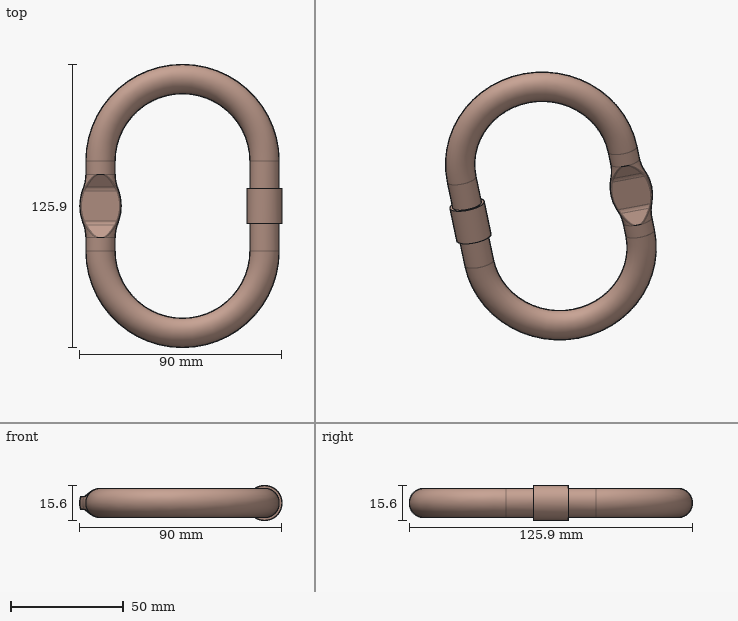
import cadquery as cq
import math

LINK_LENGTH = 125.9
WIRE_RADIUS = 6.5
STRAIGHT_SPACING = 72.9
STRAIGHT_X = STRAIGHT_SPACING / 2
BEND_Y = LINK_LENGTH / 2 - WIRE_RADIUS - STRAIGHT_X

SLEEVE_RADIUS = 7.8
SLEEVE_LENGTH = 15.6

SWELL_RADIUS = 9.3
SWELL_HALF_LENGTH = 14.1
SWELL_CREST_HALF_LENGTH = 7.4
FLAT_HALF_THICKNESS = 2.9
FLAT_HALF_LENGTH = 7.5
RAMP_END_HEIGHT = 6.4
FLAT_BLEND_RADIUS = 3.8
FLAT_EDGE_RADIUS = 0.5


def make_link():
    """Round wire swept along the oval centre line."""
    path = (
        cq.Workplane("XY")
        .moveTo(STRAIGHT_X, -BEND_Y)
        .lineTo(STRAIGHT_X, BEND_Y)
        .threePointArc((0, BEND_Y + STRAIGHT_X), (-STRAIGHT_X, BEND_Y))
        .lineTo(-STRAIGHT_X, -BEND_Y)
        .threePointArc((0, -BEND_Y - STRAIGHT_X), (STRAIGHT_X, -BEND_Y))
        .close()
    )
    section = cq.Workplane("XZ", origin=(STRAIGHT_X, -BEND_Y, 0)).circle(WIRE_RADIUS)
    return section.sweep(path)


def make_sleeve():
    """Solid cylinder, coaxial with the +X straight."""
    return (
        cq.Workplane("XZ", origin=(STRAIGHT_X, SLEEVE_LENGTH / 2, 0))
        .circle(SLEEVE_RADIUS)
        .extrude(SLEEVE_LENGTH)
    )


def make_swell():
    """Barrel revolved about the -X straight: convex crest running tangentially into hollow ends."""
    rise = SWELL_RADIUS - WIRE_RADIUS
    crest_drop = rise * SWELL_CREST_HALF_LENGTH / SWELL_HALF_LENGTH
    shoulder_radius = SWELL_RADIUS - crest_drop
    shoulder = (shoulder_radius, SWELL_CREST_HALF_LENGTH)

    hollow_length = SWELL_HALF_LENGTH - SWELL_CREST_HALF_LENGTH
    hollow_rise = shoulder_radius - WIRE_RADIUS
    hollow_radius = (hollow_length**2 + hollow_rise**2) / (2 * hollow_rise)
    half_angle = math.asin(hollow_length / hollow_radius) / 2
    hollow_middle = (
        WIRE_RADIUS + hollow_radius * (1 - math.cos(half_angle)),
        SWELL_HALF_LENGTH - hollow_radius * math.sin(half_angle),
    )

    def mirrored(point):
        return (point[0], -point[1])

    return (
        cq.Workplane("XY", origin=(-STRAIGHT_X, 0, 0))
        .moveTo(0, -SWELL_HALF_LENGTH)
        .lineTo(WIRE_RADIUS, -SWELL_HALF_LENGTH)
        .threePointArc(mirrored(hollow_middle), mirrored(shoulder))
        .threePointArc((SWELL_RADIUS, 0), shoulder)
        .threePointArc(hollow_middle, (WIRE_RADIUS, SWELL_HALF_LENGTH))
        .lineTo(0, SWELL_HALF_LENGTH)
        .close()
        .revolve(360, (0, 0), (0, 1))
    )


def make_flat_cutter(side):
    """Prism across the swell, above (side=1) or below (side=-1): a flat with a ramp at each end."""
    slope = (RAMP_END_HEIGHT - FLAT_HALF_THICKNESS) / (SWELL_HALF_LENGTH - FLAT_HALF_LENGTH)
    clear_height = 2 * SWELL_RADIUS
    ramp_length = (clear_height - FLAT_HALF_THICKNESS) / slope
    top_half_length = FLAT_HALF_LENGTH + ramp_length
    return (
        cq.Workplane("YZ", origin=(-STRAIGHT_X, 0, 0))
        .polyline([
            (-FLAT_HALF_LENGTH, side * FLAT_HALF_THICKNESS),
            (FLAT_HALF_LENGTH, side * FLAT_HALF_THICKNESS),
            (top_half_length, side * clear_height),
            (-top_half_length, side * clear_height),
        ])
        .close()
        .extrude(2 * SWELL_RADIUS, both=True)
        .faces("<Z" if side > 0 else ">Z")
        .edges("|X")
        .fillet(FLAT_BLEND_RADIUS)
    )


def make_grip():
    """Swell with both flats pressed in; the rounding of their long edges runs on up the ramps."""
    grip = make_swell()
    for side in (1, -1):
        grip = grip.cut(make_flat_cutter(side))
    long_edge_middles = [
        (-STRAIGHT_X + across * SWELL_RADIUS, 0, side * FLAT_HALF_THICKNESS)
        for across in (1, -1)
        for side in (1, -1)
    ]
    for middle in long_edge_middles:
        grip = grip.edges(cq.selectors.NearestToPointSelector(middle)).fillet(FLAT_EDGE_RADIUS)
    return grip


def make_grip_clearance():
    """Cylinder that clears the plain wire from the grip's length."""
    return (
        cq.Workplane("XZ", origin=(-STRAIGHT_X, 0, 0))
        .circle(SWELL_RADIUS)
        .extrude(SWELL_HALF_LENGTH, both=True)
    )


result = (
    make_link()
    .cut(make_grip_clearance())
    .union(make_grip())
    .union(make_sleeve())
)